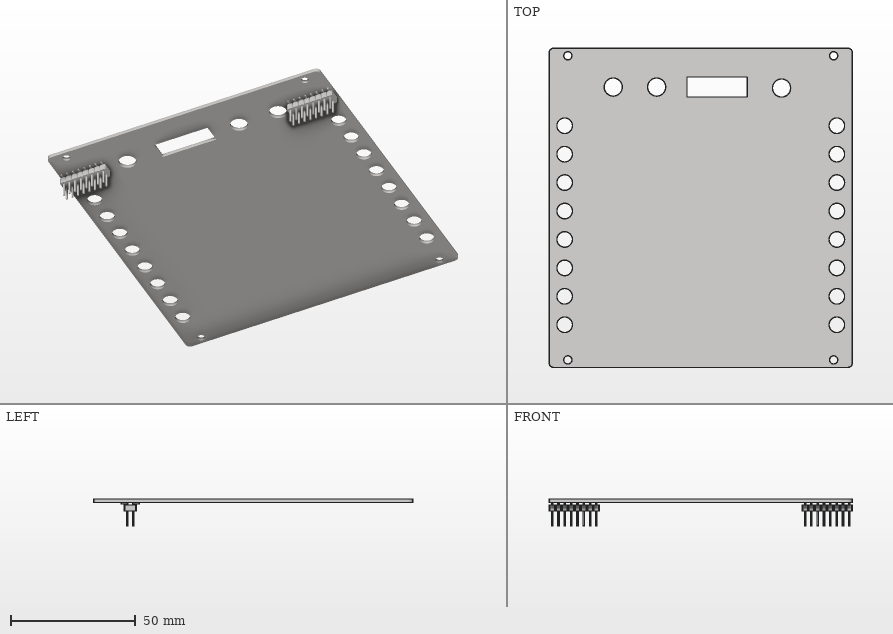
import cadquery as cq

panel_width = 121.9
panel_depth = 128.3
panel_thickness = 1.5
panel_corner_radius = 1.9
overall_height = 10.9

mount_hole_diameter = 3.2
mount_hole_x = 53.4
mount_hole_y = 61.0

side_hole_diameter = 6.2
side_hole_x = 54.6
side_hole_count = 8
side_hole_pitch = 11.4
side_hole_first_y = -47.0

control_hole_diameter = 7.2
control_row_y = 48.5
left_control_hole_xs = [-35.1, -17.7]
right_control_hole_x = 32.5
right_control_hole_y = 48.1
window_length = 24.1
window_width = 8.0
window_x = 6.5

pin_pitch = 2.54
pin_columns = 8
pin_size = 0.6
header_height = 2.6
header_gap = 0.9
header_chamfer = 0.4
header_y = 49.4
tail_span = 7.3

header_length = pin_columns * pin_pitch
header_depth = 2 * pin_pitch
header_x = (panel_width - header_length) / 2
panel_bottom = -panel_thickness
header_top = panel_bottom - header_gap
pin_height = overall_height - panel_thickness
tail_length = (tail_span - pin_pitch + pin_size) / 2


def drill(panel, points, diameter):
    """Cut a round hole through the panel at each (x, y) point."""
    drills = (
        cq.Workplane("XY", origin=(0, 0, panel_bottom))
        .pushPoints(points)
        .circle(diameter / 2)
        .extrude(panel_thickness)
    )
    return panel.cut(drills)


def make_panel():
    """Rounded rectangular panel with all of its through openings."""
    panel = (
        cq.Workplane("XY", origin=(0, 0, panel_bottom))
        .rect(panel_width, panel_depth)
        .extrude(panel_thickness)
        .edges("|Z")
        .fillet(panel_corner_radius)
    )
    mount_points = [(sx * mount_hole_x, sy * mount_hole_y) for sx in (-1, 1) for sy in (-1, 1)]
    side_points = [
        (side * side_hole_x, side_hole_first_y + i * side_hole_pitch)
        for side in (-1, 1)
        for i in range(side_hole_count)
    ]
    control_points = [(x, control_row_y) for x in left_control_hole_xs]
    control_points.append((right_control_hole_x, right_control_hole_y))

    panel = drill(panel, mount_points, mount_hole_diameter)
    panel = drill(panel, side_points, side_hole_diameter)
    panel = drill(panel, control_points, control_hole_diameter)
    window = (
        cq.Workplane("XY", origin=(window_x, control_row_y, panel_bottom))
        .rect(window_length, window_width)
        .extrude(panel_thickness)
    )
    return panel.cut(window)


def make_pin(x, side):
    """Straight square pin with a tail bent outward against the panel; side is -1 or 1 along Y."""
    pin_y = side * pin_pitch / 2
    inner_y = pin_y - side * pin_size / 2
    post = (
        cq.Workplane("XY", origin=(x, pin_y, panel_bottom))
        .rect(pin_size, pin_size)
        .extrude(-pin_height)
    )
    tail = (
        cq.Workplane("XY", origin=(x, inner_y + side * tail_length / 2, panel_bottom))
        .rect(pin_size, tail_length)
        .extrude(-pin_size)
    )
    return post.union(tail)


def make_header(center_x):
    """Two-row pin header: a chain of chamfered blocks, one per pin pair, fused with its pins."""
    header = cq.Workplane("XY")
    for i in range(pin_columns):
        x = (i - (pin_columns - 1) / 2) * pin_pitch
        block = (
            cq.Workplane("XY", origin=(x, 0, header_top))
            .rect(pin_pitch, header_depth)
            .extrude(-header_height)
            .edges("|Z")
            .chamfer(header_chamfer)
        )
        header = header.union(block)
        for side in (-1, 1):
            header = header.union(make_pin(x, side))
    return header.translate((center_x, header_y, 0))


panel = make_panel()
headers = [make_header(side * header_x) for side in (-1, 1)]

result = cq.Compound.makeCompound([panel.val(), *[header.val() for header in headers]])